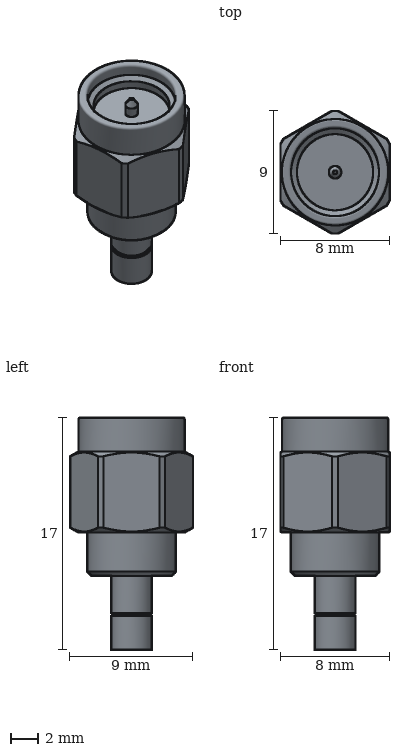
import cadquery as cq

TOTAL_HEIGHT = 17.0

STEM_RADIUS = 1.5
GROOVE_BOTTOM = 2.5
GROOVE_TOP = 2.72
GROOVE_RADIUS = 0.92
GROOVE_CHAMFER = 0.1

COLLAR_RADIUS = 3.25
COLLAR_BOTTOM = 5.42
COLLAR_CHAMFER = 0.3

NUT_BOTTOM = 8.6
NUT_TOP = 14.5
NUT_ACROSS_FLATS = 8.0
NUT_CORNER_RADIUS = 9.0 / 2
NUT_CHAMFER_HEIGHT = 0.34

SLEEVE_RADIUS = 3.9
RIM_FILLET = 0.17

BORE_RADIUS = 3.21
BORE_FILLET = 0.2
BORE_DEPTH = 0.88
SOCKET_RADIUS = 2.79
SEAT_DEPTH = 1.14
SOCKET_DEPTH = 1.8

PIN_RADIUS = 0.46
PIN_TIP_RADIUS = 0.14
PIN_SHOULDER_DEPTH = 1.0
PIN_TIP_DEPTH = 0.46


def revolve_profile(points):
    """Turn a closed (radius, height) outline around the Z axis."""
    outline = cq.Workplane("XZ").polyline(points).close()
    return outline.revolve(360, (0, 0, 0), (0, 1, 0))


def cylinder(radius, bottom, top):
    return cq.Workplane("XY").workplane(offset=bottom).circle(radius).extrude(top - bottom)


def make_stem():
    return revolve_profile([
        (0, 0),
        (STEM_RADIUS, 0),
        (STEM_RADIUS, GROOVE_BOTTOM),
        (GROOVE_RADIUS, GROOVE_BOTTOM),
        (GROOVE_RADIUS, GROOVE_TOP - GROOVE_CHAMFER),
        (STEM_RADIUS - GROOVE_CHAMFER, GROOVE_TOP - GROOVE_CHAMFER),
        (STEM_RADIUS, GROOVE_TOP),
        (STEM_RADIUS, COLLAR_BOTTOM),
        (0, COLLAR_BOTTOM),
    ])


def make_collar():
    collar = cylinder(COLLAR_RADIUS, COLLAR_BOTTOM, NUT_BOTTOM)
    return collar.faces("<Z").edges().chamfer(COLLAR_CHAMFER)


def make_nut():
    hexagon = (
        cq.Workplane("XY", origin=(0, 0, NUT_BOTTOM))
        .polygon(6, NUT_ACROSS_FLATS, circumscribed=True)
        .extrude(NUT_TOP - NUT_BOTTOM)
    )
    turned_blank = revolve_profile([
        (0, NUT_BOTTOM),
        (SLEEVE_RADIUS, NUT_BOTTOM),
        (NUT_CORNER_RADIUS, NUT_BOTTOM + NUT_CHAMFER_HEIGHT),
        (NUT_CORNER_RADIUS, NUT_TOP - NUT_CHAMFER_HEIGHT),
        (SLEEVE_RADIUS, NUT_TOP),
        (0, NUT_TOP),
    ])
    return hexagon.intersect(turned_blank)


def make_sleeve():
    sleeve = cylinder(SLEEVE_RADIUS, NUT_TOP, TOTAL_HEIGHT)
    return sleeve.faces(">Z").edges().fillet(RIM_FILLET)


def make_socket():
    bore_floor = TOTAL_HEIGHT - BORE_DEPTH
    seat_bottom = TOTAL_HEIGHT - SEAT_DEPTH
    socket_floor = TOTAL_HEIGHT - SOCKET_DEPTH
    flare_offset = BORE_FILLET * (1 - 0.5 ** 0.5)
    outline = (
        cq.Workplane("XZ")
        .moveTo(0, socket_floor)
        .lineTo(SOCKET_RADIUS, socket_floor)
        .lineTo(SOCKET_RADIUS, seat_bottom)
        .lineTo(BORE_RADIUS, bore_floor)
        .lineTo(BORE_RADIUS, TOTAL_HEIGHT - BORE_FILLET)
        .threePointArc(
            (BORE_RADIUS + flare_offset, TOTAL_HEIGHT - flare_offset),
            (BORE_RADIUS + BORE_FILLET, TOTAL_HEIGHT),
        )
        .lineTo(0, TOTAL_HEIGHT)
        .close()
    )
    return outline.revolve(360, (0, 0, 0), (0, 1, 0))


def make_pin():
    pin_base = TOTAL_HEIGHT - SOCKET_DEPTH
    shoulder = TOTAL_HEIGHT - PIN_SHOULDER_DEPTH
    tip = TOTAL_HEIGHT - PIN_TIP_DEPTH
    return revolve_profile([
        (0, pin_base),
        (PIN_RADIUS, pin_base),
        (PIN_RADIUS, shoulder),
        (PIN_TIP_RADIUS, tip),
        (0, tip),
    ])


body = make_stem().union(make_collar()).union(make_nut()).union(make_sleeve())
result = body.cut(make_socket()).union(make_pin())